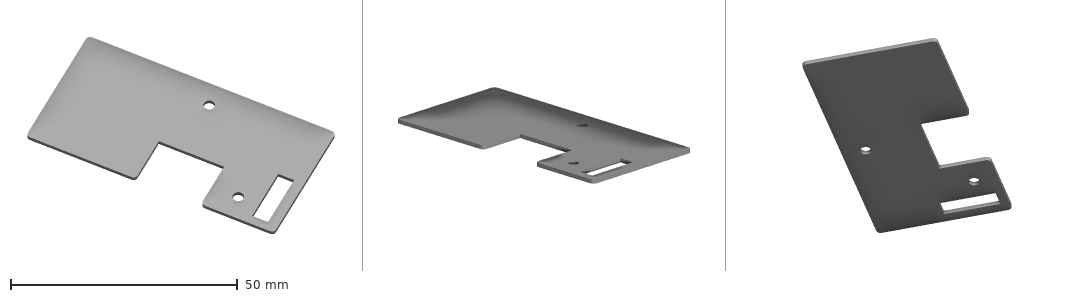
import cadquery as cq

length = 61.0
width = 31.0
thickness = 1.0
corner_radius = 1.0

notch_left = 26.95
notch_width = 16.05
notch_depth = 11.6
notch_right = notch_left + notch_width

hole_diameter = 2.5
hole_inset = 5.5
back_hole_x = 32.5
front_hole_x = 49.5
hole_centers = [(back_hole_x, width - hole_inset), (front_hole_x, hole_inset)]

window_left = 54.6
window_bottom = 2.1
window_width = 3.9
window_height = 13.0


def make_plate():
    """Notched plate with every outer corner rounded, the notch's inner corners sharp."""
    outline = [
        (0, 0),
        (notch_left, 0),
        (notch_left, notch_depth),
        (notch_right, notch_depth),
        (notch_right, 0),
        (length, 0),
        (length, width),
        (0, width),
    ]
    plate = cq.Workplane("XY").polyline(outline).close().extrude(thickness)
    front_corners = plate.faces("<Y").edges("|Z")
    back_corners = plate.faces(">Y").edges("|Z")
    return front_corners.add(back_corners).fillet(corner_radius)


def make_holes():
    return cq.Workplane("XY").pushPoints(hole_centers).circle(hole_diameter / 2).extrude(thickness)


def make_window():
    window = cq.Workplane("XY").rect(window_width, window_height, centered=False).extrude(thickness)
    return window.translate((window_left, window_bottom, 0))


result = make_plate().cut(make_holes()).cut(make_window())